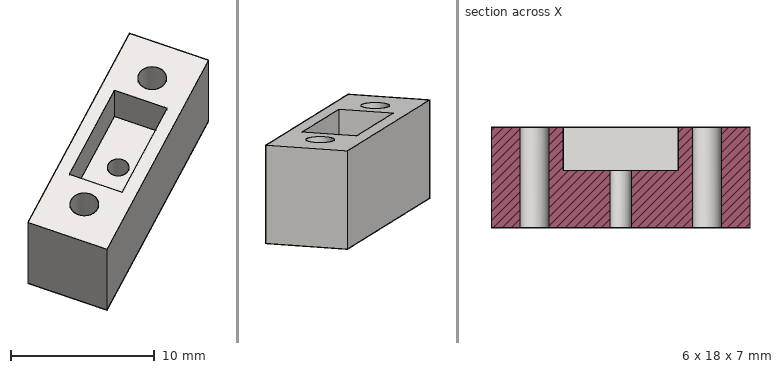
import cadquery as cq

width = 6.0
length = 18.0
height = 7.0

pocket_width = 4.0
pocket_length = 8.0
pocket_depth = 3.0

mount_hole_diameter = 2.0
mount_hole_spacing = 12.0
center_hole_diameter = 1.5

block = cq.Workplane("XY").box(width, length, height, centered=(True, True, False))

pocketed_block = (
    block.faces(">Z").workplane()
    .rect(pocket_width, pocket_length)
    .cutBlind(-pocket_depth)
)

mount_hole_centers = [(0, -mount_hole_spacing / 2), (0, mount_hole_spacing / 2)]
mount_holes = (
    cq.Workplane("XY")
    .pushPoints(mount_hole_centers)
    .circle(mount_hole_diameter / 2)
    .extrude(height)
)
center_hole = cq.Workplane("XY").circle(center_hole_diameter / 2).extrude(height)

result = pocketed_block.cut(mount_holes).cut(center_hole)